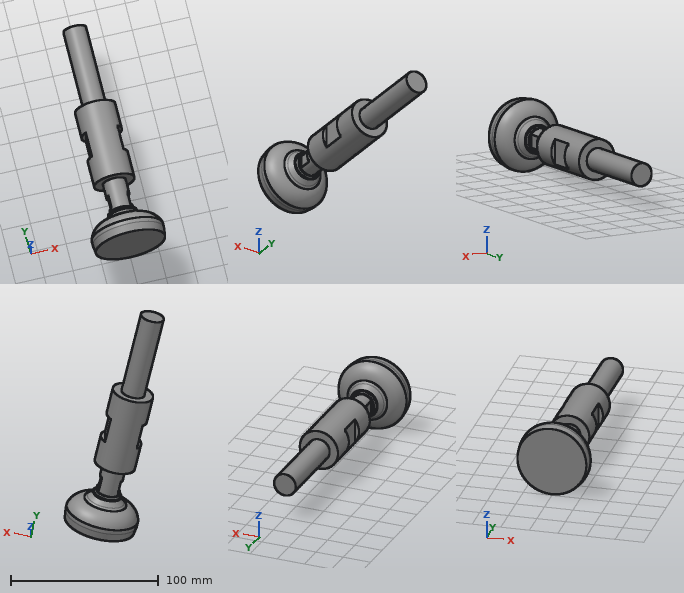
import cadquery as cq

TOTAL_LENGTH = 160.0

FOOT_RADIUS = 25.0
FOOT_BASE_RADIUS = 24.2
TAPER_TOP = 5.8
RIM_TOP = 9.0
DOME_MID_RADIUS = 21.6
DOME_MID = 14.5
DOME_TOP_RADIUS = 14.5
DOME_TOP = 18.0
CONE_BASE_RADIUS = 12.8
CONE_BASE = 19.4
CONE_TOP_RADIUS = 9.3
CONE_TOP = 22.7
LIP_RADIUS = 10.0
LIP_BASE = 23.5
LIP_THICKNESS = 0.2
NECK_RADIUS = 7.4
FOOT_TOP = 25.1

SPINDLE_RADIUS = 8.0
SPINDLE_FLATS_WIDTH = 13.1
SPINDLE_FLATS_START = 27.0
SPINDLE_FLATS_LENGTH = 9.1

SLEEVE_RADIUS = 14.0
SLEEVE_START = 46.4
SLEEVE_LENGTH = 55.0
SLEEVE_FLATS_WIDTH = 22.0
SLEEVE_FLATS_LENGTH = 17.5
SLEEVE_FLATS_START = SLEEVE_START + (SLEEVE_LENGTH - SLEEVE_FLATS_LENGTH) / 2


def cylinder_along_y(radius, start, length):
    """Solid cylinder on the Y axis, growing toward +Y from start."""
    plane = cq.Workplane("XZ", origin=(0, start, 0))
    return plane.circle(radius).extrude(-length)


def cut_wrench_flats(body, radius, width, start, length):
    """Cut two parallel flats facing -X and +X into a round body."""
    stock = cylinder_along_y(2 * radius, start, length)
    kept = cq.Workplane("XY").box(width, 2 * TOTAL_LENGTH, 4 * radius)
    return body.cut(stock.cut(kept))


def make_foot():
    """Turned domed foot with a flat base and a thin lip at its neck."""
    lip_top = LIP_BASE + LIP_THICKNESS
    profile = (
        cq.Workplane("XY")
        .lineTo(FOOT_BASE_RADIUS, 0)
        .lineTo(FOOT_RADIUS, TAPER_TOP)
        .lineTo(FOOT_RADIUS, RIM_TOP)
        .threePointArc((DOME_MID_RADIUS, DOME_MID), (DOME_TOP_RADIUS, DOME_TOP))
        .lineTo(CONE_BASE_RADIUS, CONE_BASE)
        .lineTo(CONE_TOP_RADIUS, CONE_TOP)
        .lineTo(CONE_TOP_RADIUS, LIP_BASE)
        .lineTo(LIP_RADIUS, LIP_BASE)
        .lineTo(LIP_RADIUS, lip_top)
        .lineTo(CONE_TOP_RADIUS, lip_top)
        .lineTo(NECK_RADIUS, FOOT_TOP)
        .lineTo(0, FOOT_TOP)
        .close()
    )
    return profile.revolve(360, (0, 0, 0), (0, 1, 0))


def make_spindle():
    """Plain rod standing on the foot, with wrench flats near its lower end."""
    rod = cylinder_along_y(SPINDLE_RADIUS, FOOT_TOP, TOTAL_LENGTH - FOOT_TOP)
    return cut_wrench_flats(
        rod, SPINDLE_RADIUS, SPINDLE_FLATS_WIDTH, SPINDLE_FLATS_START, SPINDLE_FLATS_LENGTH
    )


def make_sleeve():
    """Round sleeve bored to the spindle, with wrench flats at mid-length."""
    tube = cylinder_along_y(SLEEVE_RADIUS, SLEEVE_START, SLEEVE_LENGTH)
    tube = tube.cut(cylinder_along_y(SPINDLE_RADIUS, SLEEVE_START, SLEEVE_LENGTH))
    return cut_wrench_flats(
        tube, SLEEVE_RADIUS, SLEEVE_FLATS_WIDTH, SLEEVE_FLATS_START, SLEEVE_FLATS_LENGTH
    )


foot = make_foot()
spindle = make_spindle()
sleeve = make_sleeve()

result = cq.Compound.makeCompound([foot.val(), spindle.val(), sleeve.val()])